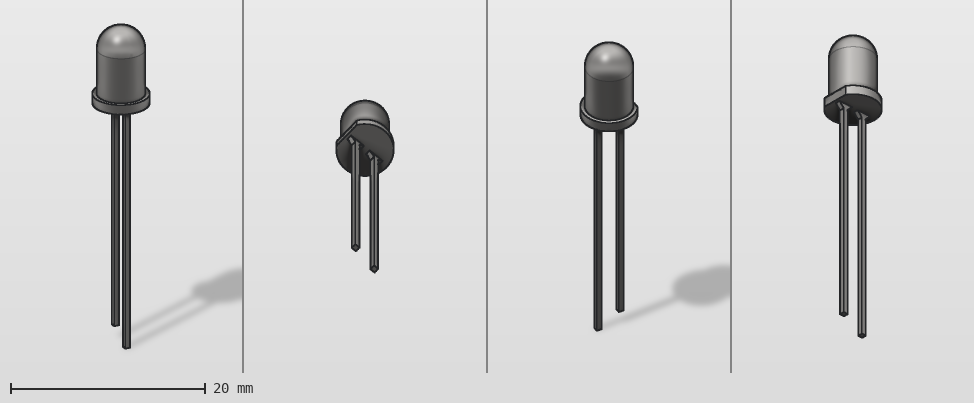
import cadquery as cq

total_height = 35.58
lens_diameter = 5.0
lens_radius = lens_diameter / 2
body_height = 8.6
flange_diameter = 5.9
flange_height = 1.05
flat_offset = lens_radius

lead_width = 0.57
lead_spacing = 2.55
lead_length_difference = 1.5
flare_height = 0.65
flare_top_width = 1.78

body_bottom = total_height - body_height


def make_lens():
    """Cylinder with a hemispherical top."""
    straight_height = body_height - lens_radius
    cylinder = cq.Workplane("XY", origin=(0, 0, body_bottom)).circle(lens_radius).extrude(straight_height)
    dome = cq.Workplane("XY", origin=(0, 0, total_height - lens_radius)).sphere(lens_radius)
    return cylinder.union(dome)


def make_flange():
    """Round flange with a flat on its -X side, level with the lens wall."""
    disc = cq.Workplane("XY").circle(flange_diameter / 2).extrude(flange_height)
    kept_length = flat_offset + flange_diameter / 2
    kept_side = (
        cq.Workplane("XY")
        .box(kept_length, flange_diameter, flange_height, centered=(False, True, False))
        .translate((-flat_offset, 0, 0))
    )
    return disc.intersect(kept_side).translate((0, 0, body_bottom))


def make_lead(x_center, tip_height):
    """Square lead that flares out along X where it meets the flange."""
    half_width = lead_width / 2
    half_flare = flare_top_width / 2
    flare_bottom = body_bottom - flare_height
    outline = [
        (-half_width, tip_height),
        (half_width, tip_height),
        (half_width, flare_bottom),
        (half_flare, body_bottom),
        (-half_flare, body_bottom),
        (-half_width, flare_bottom),
    ]
    lead = cq.Workplane("XZ").polyline(outline).close().extrude(half_width, both=True)
    return lead.translate((x_center, 0, 0))


short_lead = make_lead(-lead_spacing / 2, lead_length_difference)
long_lead = make_lead(lead_spacing / 2, 0)

result = make_lens().union(make_flange()).union(short_lead).union(long_lead)